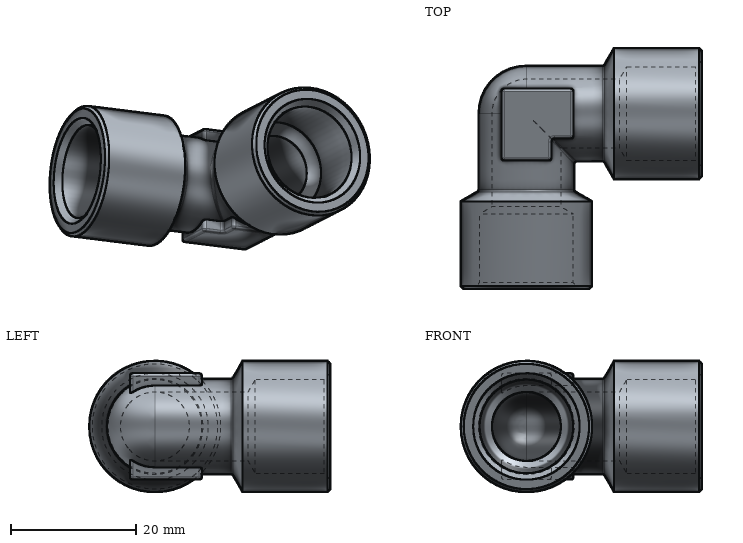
import cadquery as cq
import math


leg_length = 28.0
body_radius = 7.65
socket_radius = 10.5
socket_start = 14.0
socket_rim_chamfer = 0.5
shoulder_angle = 60.0
shoulder_fillet = 0.4
crotch_fillet = 0.4

passage_radius = 5.5
thread_radius = 7.475
thread_depth = 12.0
mouth_radius = 8.5
drill_angle = 60.0

pad_height = 8.5
pad_outer = 4.0
pad_inner = 7.5
pad_notch = 4.0
pad_fillet = 0.5

slope = math.tan(math.radians(shoulder_angle))
shoulder_start = socket_start - (socket_radius - body_radius) / slope
mouth_depth = mouth_radius - thread_radius
drill_cone_length = (thread_radius - passage_radius) / math.tan(math.radians(drill_angle))
thread_end = leg_length - thread_depth


def turned_leg(profile):
    """Revolve an (axial, radial) profile about the X axis."""
    return cq.Workplane("XY").polyline(profile).close().revolve(360, (0, 0, 0), (1, 0, 0))


def both_legs(leg):
    """Join an X leg with its copy flipped onto -Y about the line between the legs."""
    return leg.union(leg.rotate((0, 0, 0), (1, -1, 0), 180))


def corner_ball(radius):
    """Quarter ball that closes the outer corner, where both X < 0 and Y > 0."""
    return cq.Workplane("XY").sphere(radius, angle3=90).rotate((0, 0, 0), (0, 0, 1), 90)


def neck_body():
    """Round necks with a ball at the outer corner."""
    neck = turned_leg([(0, 0), (shoulder_start, 0), (shoulder_start, body_radius), (0, body_radius)])
    return both_legs(neck).union(corner_ball(body_radius))


def round_crotch(body):
    """Fillet the edge where the two necks meet on the inside of the elbow, below the pads."""
    return body.edges("%ELLIPSE").fillet(crotch_fillet)


def socket_leg():
    """Socket with its conical shoulder, a rounded shoulder root and a chamfered rim."""
    turn = math.radians(shoulder_angle)
    tangent = shoulder_fillet * math.tan(turn / 2)
    root_start = shoulder_start - tangent
    root_end = (shoulder_start + tangent * math.cos(turn), body_radius + tangent * math.sin(turn))
    root_middle = (
        root_start + shoulder_fillet * math.sin(turn / 2),
        body_radius + shoulder_fillet * (1 - math.cos(turn / 2)),
    )
    profile = (
        cq.Workplane("XY")
        .moveTo(root_start, 0)
        .lineTo(root_start, body_radius)
        .threePointArc(root_middle, root_end)
        .lineTo(socket_start, socket_radius)
        .lineTo(leg_length - socket_rim_chamfer, socket_radius)
        .lineTo(leg_length, socket_radius - socket_rim_chamfer)
        .lineTo(leg_length, 0)
        .close()
    )
    return profile.revolve(360, (0, 0, 0), (1, 0, 0))


def bore_leg():
    """Passage, drill cone, threaded wall and lead-in of one leg."""
    return turned_leg([
        (0, 0),
        (0, passage_radius),
        (thread_end - drill_cone_length, passage_radius),
        (thread_end, thread_radius),
        (leg_length - mouth_depth, thread_radius),
        (leg_length, mouth_radius),
        (leg_length, 0),
    ])


def wrench_pads():
    """L-shaped block through the elbow whose two ends form the pads."""
    outline = [
        (-pad_outer, pad_outer),
        (pad_inner, pad_outer),
        (pad_inner, -pad_notch),
        (pad_notch, -pad_notch),
        (pad_notch, -pad_inner),
        (-pad_outer, -pad_inner),
    ]
    block = cq.Workplane("XY").polyline(outline).close().extrude(pad_height, both=True)
    return block.edges().fillet(pad_fillet)


outside = round_crotch(neck_body().union(both_legs(socket_leg())).union(wrench_pads()))
bores = both_legs(bore_leg()).union(corner_ball(passage_radius))
result = outside.cut(bores)